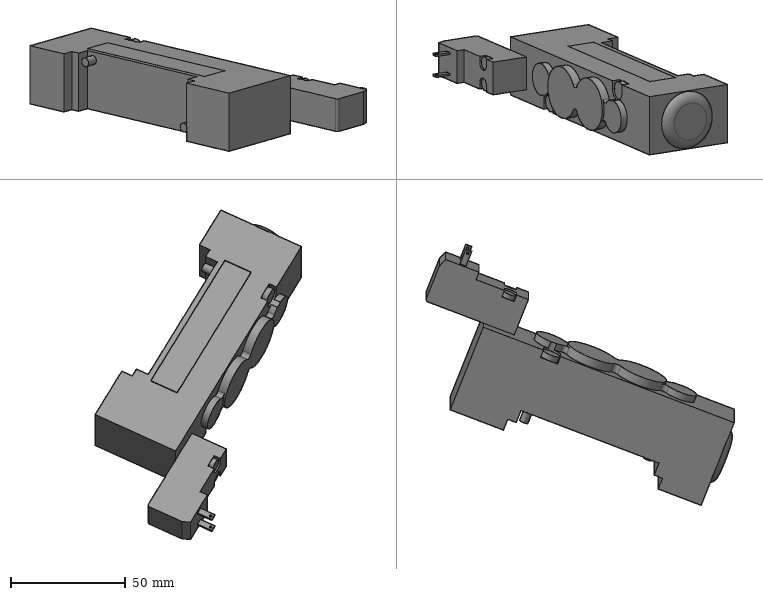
import cadquery as cq
import math


housing_left = -56.6
housing_length = 118.1
housing_depth = 40.0
housing_height = 26.5
housing_right = housing_left + housing_length
front_face_y = -housing_depth
top_z = housing_height / 2

recess_outer_width = 72.8
recess_inner_width = 65.0
recess_step_depth = 5.2
recess_depth = 11.0
recess_floor_y = front_face_y + recess_depth

button_y = -19.2
button_radius = 13.0
button_flat_radius = 8.3
button_height = 3.0

large_collar_radius = 11.6
large_collar_height = 4.0
small_collar_radius = 7.3
small_collar_height = 3.1
small_collar_offset_z = 1.3
collar_fillet = 1.8

screw_spacing = 58.4
screw_z = 9.5
screw_head_diameter = 8.0
screw_shank_diameter = 4.0
screw_head_height = 2.7
screw_slot_depth = 3.5
screw_protrusion = 5.0

label_length = 69.5
label_width = 13.1
label_back_y = -13.4
label_thickness = 0.5

connector_gap = 0.5
connector_left = 47.1
connector_length = 41.9
connector_height = 14.9
connector_low_depth = 17.1
connector_high_depth = 20.7
connector_step_x = 71.8
connector_bevel_x = 1.5
connector_bevel_y = 3.5
connector_corner_radius = 1.2
connector_right = connector_left + connector_length
connector_low_y = connector_gap + connector_low_depth
connector_high_y = connector_gap + connector_high_depth

connector_screw_x = 55.6
connector_screw_z = 4.8
connector_head_diameter = 5.8
connector_head_height = 2.2
connector_slot_depth = 3.1

blade_x = 79.4
blade_z = 4.8
blade_width = 2.8
blade_thickness = 0.9
blade_length = 7.0
blade_hole_diameter = 1.0
blade_hole_inset = 1.3


def box_between(low, high):
    """Axis-aligned box from its low corner to its high corner."""
    size = [b - a for a, b in zip(low, high)]
    return cq.Workplane("XY").box(*size, centered=False).translate(low)


def cylinder_along_y(x, z, diameter, y_start, y_end):
    """Round bar parallel to Y."""
    bar = cq.Solid.makeCylinder(diameter / 2, y_end - y_start, cq.Vector(x, y_start, z), cq.Vector(0, 1, 0))
    return cq.Workplane(obj=bar)


def edge_slot(x, z, width, side, y_start, y_end, edge_z):
    """Round-bottomed slot along Y that opens through the face at edge_z on the given side."""
    open_z = side * (edge_z + width)
    walls = box_between(
        (x - width / 2, y_start, min(z, open_z)),
        (x + width / 2, y_end, max(z, open_z)),
    )
    return walls.union(cylinder_along_y(x, z, width, y_start, y_end))


def point_towards(start, end, distance):
    """Point at the given distance from start on the line to end."""
    share = distance / math.dist(start, end)
    return tuple(a + share * (b - a) for a, b in zip(start, end))


def back_plane_sketch():
    """Workplane on the back face: local axes are X and Z, and negative extrusion goes towards +Y."""
    return cq.Workplane(cq.Plane((0, 0, 0), xDir=(1, 0, 0), normal=(0, -1, 0)))


def collar(center, radius, height):
    """Round collar standing on the back face."""
    return back_plane_sketch().center(*center).circle(radius).extrude(-height)


def collar_web(center_a, radius_a, center_b, radius_b, height):
    """Web between two touching collars, with a concave fillet on both sides of the contact."""
    reach_a = radius_a + collar_fillet
    reach_b = radius_b + collar_fillet
    gap = math.dist(center_a, center_b)
    along = (gap**2 + reach_a**2 - reach_b**2) / (2 * gap)
    across = math.sqrt(reach_a**2 - along**2)
    foot = point_towards(center_a, center_b, along)
    unit = [(b - a) / gap for a, b in zip(center_a, center_b)]
    web = None
    for side in (1, -1):
        fillet_center = (foot[0] - side * across * unit[1], foot[1] + side * across * unit[0])
        half = (
            back_plane_sketch()
            .moveTo(*center_a)
            .lineTo(*point_towards(center_a, fillet_center, radius_a))
            .threePointArc(
                point_towards(fillet_center, foot, collar_fillet),
                point_towards(center_b, fillet_center, radius_b),
            )
            .lineTo(*center_b)
            .close()
            .extrude(-height)
        )
        web = half if web is None else web.union(half)
    return web


def port_collars():
    """Four touching collars in a row, the large pair in the middle."""
    tangent_distance = large_collar_radius + small_collar_radius
    small_x = large_collar_radius + math.sqrt(tangent_distance**2 - small_collar_offset_z**2)
    collars = collar_web(
        (-large_collar_radius, 0), large_collar_radius,
        (large_collar_radius, 0), large_collar_radius, large_collar_height,
    )
    for side in (-1, 1):
        large_center = (side * large_collar_radius, 0)
        small_center = (side * small_x, side * small_collar_offset_z)
        large = collar(large_center, large_collar_radius, large_collar_height)
        small = collar(small_center, small_collar_radius, small_collar_height)
        web = collar_web(
            large_center, large_collar_radius, small_center, small_collar_radius, small_collar_height
        )
        collars = collars.union(large).union(small).union(web)
    return collars


def button():
    """Round button whose rim is an arc running tangent into its flat end."""
    rim_width = button_radius - button_flat_radius
    arc_radius = (rim_width**2 + button_height**2) / (2 * button_height)
    half_angle = math.asin(rim_width / arc_radius) / 2
    arc_middle = (
        button_flat_radius + arc_radius * math.sin(half_angle),
        button_height - arc_radius * (1 - math.cos(half_angle)),
    )
    dome = (
        cq.Workplane("XY")
        .lineTo(button_radius, 0)
        .threePointArc(arc_middle, (button_flat_radius, button_height))
        .lineTo(0, button_height)
        .close()
        .revolve(360, (0, 0, 0), (0, 1, 0))
    )
    return dome.rotate((0, 0, 0), (0, 0, 1), 90).translate((housing_left, button_y, 0))


def label_plate():
    """Thin label flush with the top face."""
    return box_between(
        (-label_length / 2, label_back_y - label_width, top_z - label_thickness),
        (label_length / 2, label_back_y, top_z),
    )


def housing_body():
    """Valve housing with button, collars and mounting screws."""
    body = box_between(
        (housing_left, front_face_y, -top_z),
        (housing_right, 0, top_z),
    )
    for width, depth in ((recess_outer_width, recess_step_depth), (recess_inner_width, recess_depth)):
        body = body.cut(
            box_between((-width / 2, front_face_y, -top_z), (width / 2, front_face_y + depth, top_z))
        )
    body = body.union(button()).union(port_collars())
    for side in (-1, 1):
        x = side * screw_spacing / 2
        z = -side * screw_z
        seat_y = -screw_slot_depth
        body = body.cut(
            edge_slot(x, z, screw_head_diameter, -side, seat_y, large_collar_height, top_z)
        )
        body = body.union(cylinder_along_y(x, z, screw_head_diameter, seat_y, seat_y + screw_head_height))
        body = body.union(
            cylinder_along_y(x, z, screw_shank_diameter, recess_floor_y - screw_protrusion, recess_floor_y)
        )
    return body.cut(label_plate())


def blade(z):
    """Flat contact blade with a hole near its tip."""
    tip_y = connector_high_y + blade_length
    plate = box_between(
        (blade_x - blade_width / 2, connector_high_y, z - blade_thickness / 2),
        (blade_x + blade_width / 2, tip_y, z + blade_thickness / 2),
    )
    hole = (
        cq.Workplane("XY")
        .center(blade_x, tip_y - blade_hole_inset)
        .circle(blade_hole_diameter / 2)
        .extrude(blade_thickness)
        .translate((0, 0, z - blade_thickness / 2))
    )
    return plate.cut(hole)


def connector_body():
    """Stepped connector with a bevelled end, two screws and two contact blades."""
    body = (
        cq.Workplane("XY")
        .polyline([
            (connector_left, connector_gap),
            (connector_right, connector_gap),
            (connector_right, connector_high_y - connector_bevel_y),
            (connector_right - connector_bevel_x, connector_high_y),
            (connector_step_x, connector_high_y),
            (connector_step_x, connector_low_y),
            (connector_left, connector_low_y),
        ])
        .close()
        .extrude(connector_height / 2, both=True)
    )
    body = body.edges("|Z").edges(
        cq.selectors.NearestToPointSelector((connector_right, connector_gap, 0))
    ).fillet(connector_corner_radius)
    seat_y = connector_low_y - connector_slot_depth
    for side in (-1, 1):
        z = side * connector_screw_z
        body = body.cut(
            edge_slot(
                connector_screw_x, z, connector_head_diameter, side,
                seat_y, connector_low_y, connector_height / 2,
            )
        )
        body = body.union(
            cylinder_along_y(
                connector_screw_x, z, connector_head_diameter, seat_y, seat_y + connector_head_height
            )
        )
        body = body.union(blade(side * blade_z))
    return body


housing = housing_body()
connector = connector_body()
label = label_plate()

result = cq.Compound.makeCompound([housing.val(), connector.val(), label.val()])